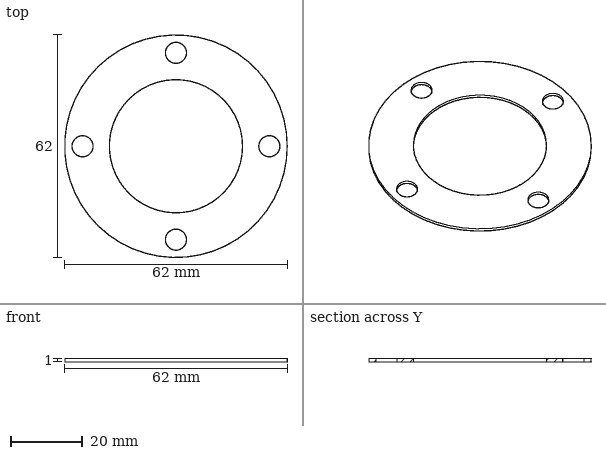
import cadquery as cq

outer_diameter = 62.0
bore_diameter = 37.0
thickness = 1.0

bolt_hole_count = 4
bolt_hole_diameter = 5.8
bolt_circle_diameter = 52.0


def make_ring():
    """Flat ring centred on the Z axis, resting on Z = 0."""
    return (
        cq.Workplane("XY")
        .circle(outer_diameter / 2)
        .circle(bore_diameter / 2)
        .extrude(thickness)
    )


def make_bolt_holes():
    """Cylinders to remove for the through holes on the bolt circle."""
    return (
        cq.Workplane("XY")
        .polarArray(bolt_circle_diameter / 2, 0, 360, bolt_hole_count)
        .circle(bolt_hole_diameter / 2)
        .extrude(thickness)
    )


result = make_ring().cut(make_bolt_holes())